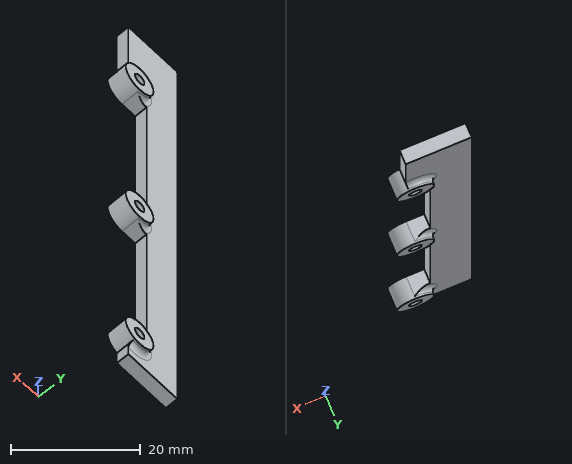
import cadquery as cq
import math

length = 98.0
thickness = 2.45
end_width = 11.1
waist_width = 7.0

overall_width = 13.1
lug_radius = 3.1
lug_depth = 3.8
hole_diameter = 2.2
fillet_radius = 1.0
lug_x = overall_width - lug_radius
first_lug_z = 6.0
lug_pitch = 38.0
lug_heights = [first_lug_z + i * lug_pitch for i in range(3)]


def block(x_start, x_end, z_start, z_end, depth=thickness):
    """Block between the given X and Z limits, from Y = 0 to the given depth."""
    size_x = x_end - x_start
    size_z = z_end - z_start
    return cq.Workplane("XY").box(size_x, depth, size_z, centered=False).translate((x_start, 0, z_start))


def cylinder(radius, z):
    """Cylinder along +Y on a lug axis, as deep as the lug."""
    axis_start = cq.Vector(lug_x, 0, z)
    return cq.Workplane(cq.Solid.makeCylinder(radius, lug_depth, axis_start, cq.Vector(0, 1, 0)))


def flared_lug(z):
    """Lug whose part behind the plate's back face widens into the plate with a concave fillet."""
    fillet_top = thickness + fillet_radius
    arc_drop = fillet_radius * math.sqrt(0.5)
    arc_middle = (lug_radius + fillet_radius - arc_drop, fillet_top - arc_drop)
    profile = (
        cq.Workplane("XY")
        .lineTo(lug_radius + fillet_radius, 0)
        .lineTo(lug_radius + fillet_radius, thickness)
        .threePointArc(arc_middle, (lug_radius, fillet_top))
        .lineTo(lug_radius, lug_depth)
        .lineTo(0, lug_depth)
        .close()
    )
    return profile.revolve(360, (0, 0), (0, 1)).translate((lug_x, 0, z))


def plate_outline(depth):
    """Narrow spine, wider ends reaching to the outermost lug axes, and webs out to the lug axes."""
    outline = block(0, waist_width, 0, length, depth)
    outline = outline.union(block(0, end_width, 0, lug_heights[0], depth))
    outline = outline.union(block(0, end_width, lug_heights[-1], length, depth))
    for z in lug_heights:
        outline = outline.union(block(waist_width, lug_x, z - lug_radius, z + lug_radius, depth))
    return outline


plate = plate_outline(thickness)

fillet_limits = plate_outline(lug_depth)
for z in lug_heights:
    plate = plate.union(cylinder(lug_radius, z))
    plate = plate.union(flared_lug(z).intersect(fillet_limits))

for z in lug_heights:
    plate = plate.cut(cylinder(hole_diameter / 2, z))

result = plate